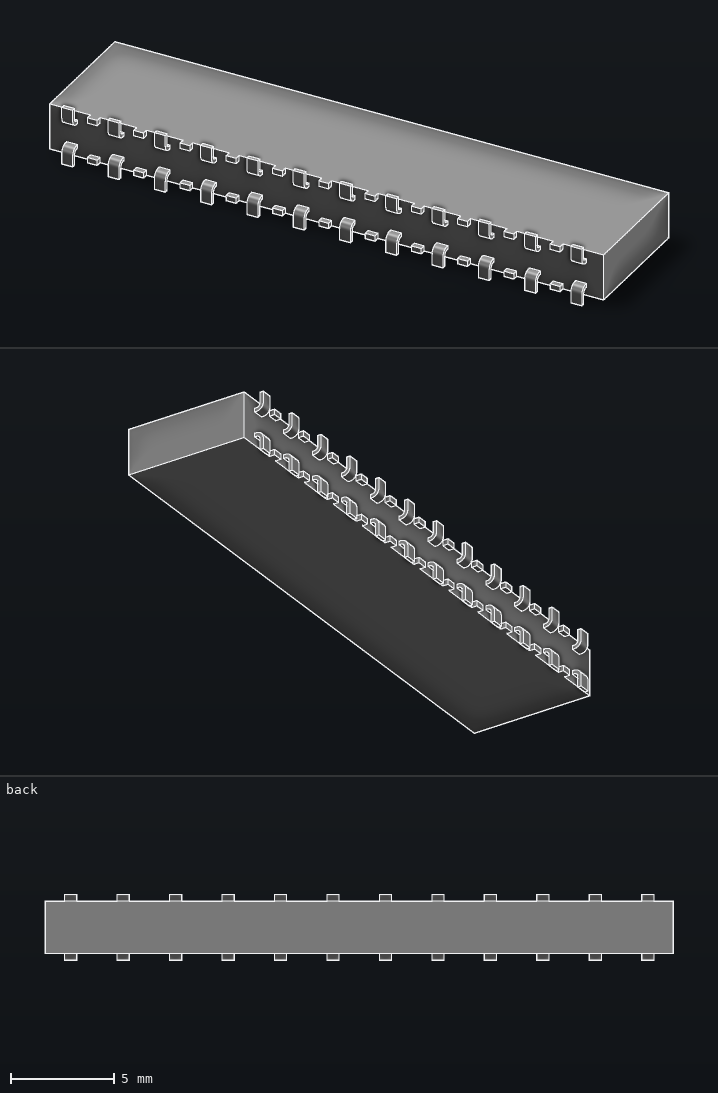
import cadquery as cq

overall_length = 30.4
overall_depth = 7.2
overall_height = 3.19

housing_depth = 6.7
housing_height = 2.54

pin_count = 12
pin_pitch = 2.54
pin_width = 0.6
pin_thickness = 0.2
bend_outer_radius = 0.4
bend_inner_radius = bend_outer_radius - pin_thickness
pin_reach = overall_depth - housing_depth
pin_tip_z = overall_height / 2
pin_height = 1.0
pin_root_z = pin_tip_z - pin_height

peg_width = 0.54
peg_height = 0.3
peg_reach = 0.3


def row_positions(count):
    """X positions of a row of equally pitched items centred on x = 0."""
    return [(i - (count - 1) / 2) * pin_pitch for i in range(count)]


def make_housing():
    return cq.Workplane("XY").box(
        overall_length, housing_depth, housing_height, centered=(True, False, True)
    )


def make_pin(x):
    """Upper pin: leaves the face along -Y, then bends up to a vertical foot."""
    foot_back_y = -pin_reach + pin_thickness
    bend_center_y = -pin_reach + bend_outer_radius
    bend_center_z = pin_root_z + bend_outer_radius
    return (
        cq.Workplane("YZ", origin=(x - pin_width / 2, 0, 0))
        .moveTo(0, pin_root_z)
        .lineTo(bend_center_y, pin_root_z)
        .radiusArc((-pin_reach, bend_center_z), bend_outer_radius)
        .lineTo(-pin_reach, pin_tip_z)
        .lineTo(foot_back_y, pin_tip_z)
        .lineTo(foot_back_y, bend_center_z)
        .radiusArc((bend_center_y, pin_root_z + pin_thickness), -bend_inner_radius)
        .lineTo(0, pin_root_z + pin_thickness)
        .close()
        .extrude(pin_width)
    )


def make_peg(x):
    """Upper peg flush with the housing top; its rear half lies inside the housing."""
    return (
        cq.Workplane("XY", origin=(x, 0, housing_height / 2 - peg_height))
        .rect(peg_width, 2 * peg_reach)
        .extrude(peg_height)
    )


pins = [make_pin(x) for x in row_positions(pin_count)]
pegs = [make_peg(x) for x in row_positions(pin_count - 1)]

result = make_housing()
for item in pins + pegs:
    result = result.union(item).union(item.mirror("XY"))
result = result.clean()